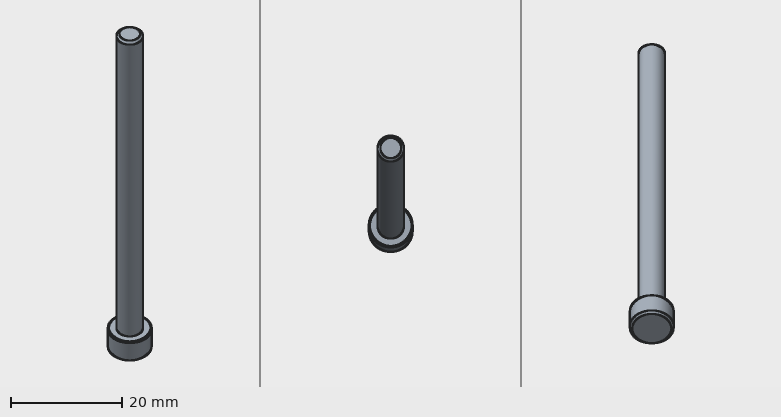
import cadquery as cq

total_length = 74.7
head_diameter = 7.9
head_height = 4.8
head_bottom_chamfer = 0.45
head_top_chamfer = 0.2
shank_diameter = 4.8
tip_chamfer = 0.5

head = (
    cq.Workplane("XY")
    .circle(head_diameter / 2)
    .extrude(head_height)
    .faces("<Z").chamfer(head_bottom_chamfer)
    .faces(">Z").chamfer(head_top_chamfer)
)

shank = (
    cq.Workplane("XY")
    .workplane(offset=head_height)
    .circle(shank_diameter / 2)
    .extrude(total_length - head_height)
    .faces(">Z").chamfer(tip_chamfer)
)

result = head.union(shank)